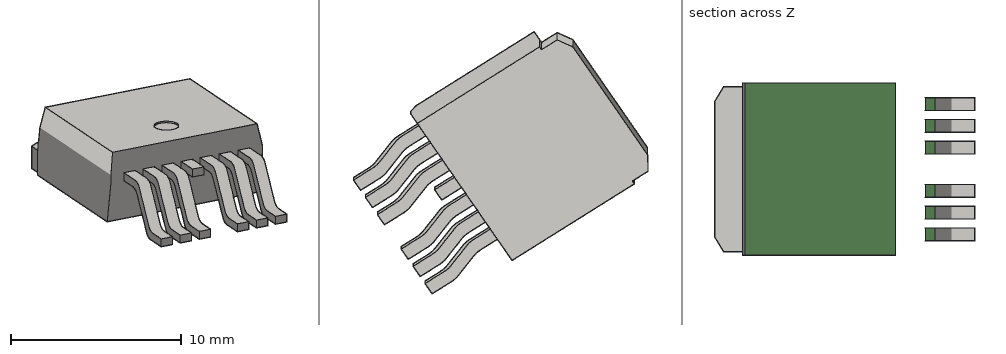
import cadquery as cq
import math

total_length = 15.24
body_width = 10.1
body_height = 4.41
tab_end_x = -total_length / 2
lead_tip_x = total_length / 2

draft = math.tan(math.radians(10))
parting_z = 3.09
body_left_x = tab_end_x + 1.63
body_right_x = tab_end_x + 10.66

tab_width = 9.68
tab_thickness = 1.41
tab_chamfer_x = 0.53
tab_chamfer_y = 0.87
tab_overlap = 1.0

lead_count = 7
short_lead_index = 3
lead_pitch = 1.27
lead_width = 0.76
lead_thickness = 0.5
lead_slope = math.radians(60)
lead_bend_radius = 0.6
lead_overlap = 0.5
short_lead_length = 1.4
foot_length = 1.0

mark_x = tab_end_x + 8.16
mark_diameter = 1.45
mark_depth = 0.1


def extrude_along_y(points, width, center_y=0):
    """Extrude an XZ outline symmetrically about the plane Y = center_y."""
    profile = cq.Workplane("XZ", origin=(0, center_y, 0)).polyline(points).close()
    return profile.extrude(width / 2, both=True)


def make_body():
    lead_bottom_z = parting_z - lead_thickness
    top_inset = (body_height - parting_z) * draft
    side_outline = [
        (body_left_x, 0),
        (body_right_x - lead_bottom_z * draft, 0),
        (body_right_x, lead_bottom_z),
        (body_right_x, parting_z),
        (body_right_x - top_inset, body_height),
        (body_left_x + (body_height - tab_thickness) * draft, body_height),
        (body_left_x, tab_thickness),
    ]
    body = extrude_along_y(side_outline, body_width)

    half_width = body_width / 2
    end_outline = [
        (-half_width, 0),
        (half_width, 0),
        (half_width, parting_z),
        (half_width - top_inset, body_height),
        (-half_width + top_inset, body_height),
        (-half_width, parting_z),
    ]
    envelope = cq.Workplane("YZ").polyline(end_outline).close().extrude(total_length / 2, both=True)
    return body.intersect(envelope)


def make_tab():
    half_width = tab_width / 2
    inner_x = body_left_x + tab_overlap
    outline = [
        (inner_x, -half_width),
        (tab_end_x + tab_chamfer_x, -half_width),
        (tab_end_x, -half_width + tab_chamfer_y),
        (tab_end_x, half_width - tab_chamfer_y),
        (tab_end_x + tab_chamfer_x, half_width),
        (inner_x, half_width),
    ]
    return cq.Workplane("XY").polyline(outline).close().extrude(tab_thickness)


def make_short_lead(center_y):
    start_x = body_right_x - lead_overlap
    end_x = body_right_x + short_lead_length
    bottom_z = parting_z - lead_thickness
    outline = [
        (start_x, bottom_z),
        (end_x, bottom_z),
        (end_x, parting_z),
        (start_x, parting_z),
    ]
    return extrude_along_y(outline, lead_width, center_y)


def make_formed_lead(center_y):
    start_x = body_right_x - lead_overlap
    bottom_z = parting_z - lead_thickness
    bend_tangent = lead_bend_radius * math.tan(lead_slope / 2)
    lower_corner_x = lead_tip_x - foot_length - bend_tangent
    upper_corner_x = lower_corner_x - bottom_z / math.tan(lead_slope)
    underside_shift = lead_thickness * math.tan(lead_slope / 2)
    outline = [
        (start_x, parting_z),
        (upper_corner_x, parting_z),
        (lower_corner_x, lead_thickness),
        (lead_tip_x, lead_thickness),
        (lead_tip_x, 0),
        (lower_corner_x - underside_shift, 0),
        (upper_corner_x - underside_shift, bottom_z),
        (start_x, bottom_z),
    ]
    lead = extrude_along_y(outline, lead_width, center_y)
    bend_edges = lead.edges("|Y").edges(
        cq.selectors.BoxSelector(
            (body_right_x, -body_width, -lead_thickness),
            (lead_tip_x - foot_length / 2, body_width, body_height),
        )
    )
    return bend_edges.fillet(lead_bend_radius)


def cut_mould_mark(part):
    mark = (
        cq.Workplane("XY", origin=(mark_x, 0, body_height - mark_depth))
        .circle(mark_diameter / 2)
        .extrude(2 * mark_depth)
    )
    return part.cut(mark)


result = make_body().union(make_tab())
for index in range(lead_count):
    lead_y = (index - (lead_count - 1) / 2) * lead_pitch
    if index == short_lead_index:
        result = result.union(make_short_lead(lead_y))
    else:
        result = result.union(make_formed_lead(lead_y))
result = cut_mould_mark(result)